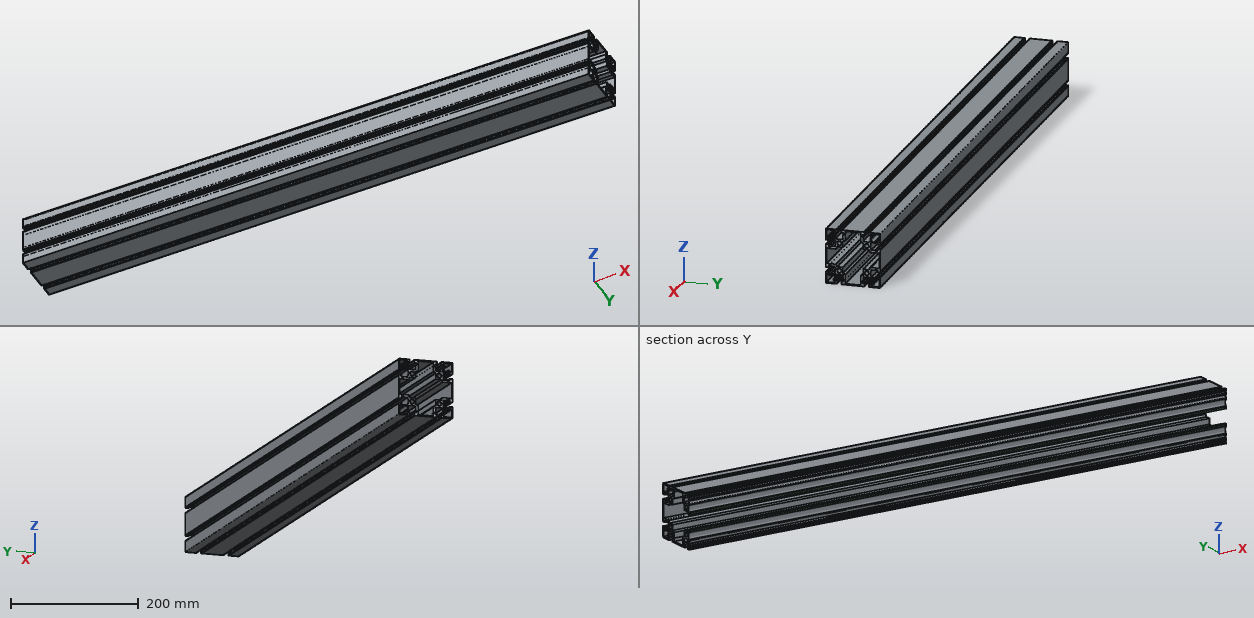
import cadquery as cq

length = 1000.0
side = 90.0
half_side = side / 2
corner_round = 2.5

skin = 2.0
web = 1.5

slot_offset = side / 4
mouth_half_width = 3.6
mouth_chamfer = 1.0
lip_depth = 5.0
lip_root_half_width = 5.7
undercut_half_width = 8.5
undercut_depth = 7.0
throat_half_width = 6.0
throat_top = 8.9
throat_bottom = 15.0
floor_half_width = 2.5
slot_depth = 16.0

bore_diameter = 7.0

chamber_roof_half_width = 8.0
chamber_lip_half_width = 6.7
chamber_lip_depth = 3.8
chamber_throat_top = 10.0
chamber_round = 3.0

arm_half_width = slot_offset - undercut_half_width - web
core_half_width = slot_offset - throat_half_width
arm_taper_outer = 28.0
arm_taper_inner = 26.0


def prism(points):
    """Extrude a closed outline in the YZ plane along the full length."""
    return cq.Workplane("YZ").polyline(points).close().extrude(length)


def four_turns(body):
    """The body repeated at quarter turns about the profile axis."""
    bodies = body
    for turn in range(1, 4):
        bodies = bodies.union(body.rotate((0, 0, 0), (1, 0, 0), 90 * turn))
    return bodies


def make_slot():
    """T-slot with a chamfered mouth, in the +Z face on the +Y side."""
    flank = [
        (mouth_half_width + mouth_chamfer, 0),
        (mouth_half_width, mouth_chamfer),
        (mouth_half_width, lip_depth),
        (lip_root_half_width, lip_depth),
        (undercut_half_width, undercut_depth),
        (throat_half_width, throat_top),
        (throat_half_width, throat_bottom),
        (floor_half_width, slot_depth),
    ]
    outline = flank + [(-y, depth) for y, depth in reversed(flank)]
    return prism([(slot_offset + y, half_side - depth) for y, depth in outline])


def make_chamber():
    """Hollow behind the +Y +Z corner, symmetric about the corner diagonal, with a rounded inner corner."""
    flank = [
        (chamber_roof_half_width, skin),
        (chamber_lip_half_width, chamber_lip_depth),
        (undercut_half_width + web, undercut_depth),
        (throat_half_width + web, chamber_throat_top),
    ]
    upper = [(slot_offset + y, half_side - depth) for y, depth in flank]
    lower = [(z, y) for y, z in reversed(upper)]
    outer_corner = half_side - skin
    inner_corner = slot_offset + throat_half_width + web
    corners = [(outer_corner, outer_corner)] + upper + [(inner_corner, inner_corner)] + lower
    chamber = prism(corners)
    inner_edge = cq.selectors.NearestToPointSelector((length / 2, inner_corner, inner_corner))
    return chamber.edges("|X").edges(inner_edge).fillet(chamber_round)


def make_cavity():
    """Cross-shaped central cavity whose arms taper from a wider core."""
    arm_end = half_side - skin
    half_arm = [
        (arm_half_width, arm_end),
        (arm_half_width, arm_taper_outer),
        (core_half_width, arm_taper_inner),
        (core_half_width, 0),
    ]
    arm = prism(half_arm + [(-y, z) for y, z in reversed(half_arm)])
    return four_turns(arm)


def make_bore():
    """Bore through the +Y +Z core."""
    return cq.Workplane("YZ").center(slot_offset, slot_offset).circle(bore_diameter / 2).extrude(length)


slot = make_slot()
slot_pair = slot.union(slot.mirror("XZ"))

profile = cq.Workplane("YZ").rect(side, side).extrude(length)
profile = profile.edges("|X").fillet(corner_round)
profile = profile.cut(make_cavity())
for cutter in (slot_pair, make_chamber(), make_bore()):
    profile = profile.cut(four_turns(cutter))

result = profile.translate((-length / 2, 0, 0))